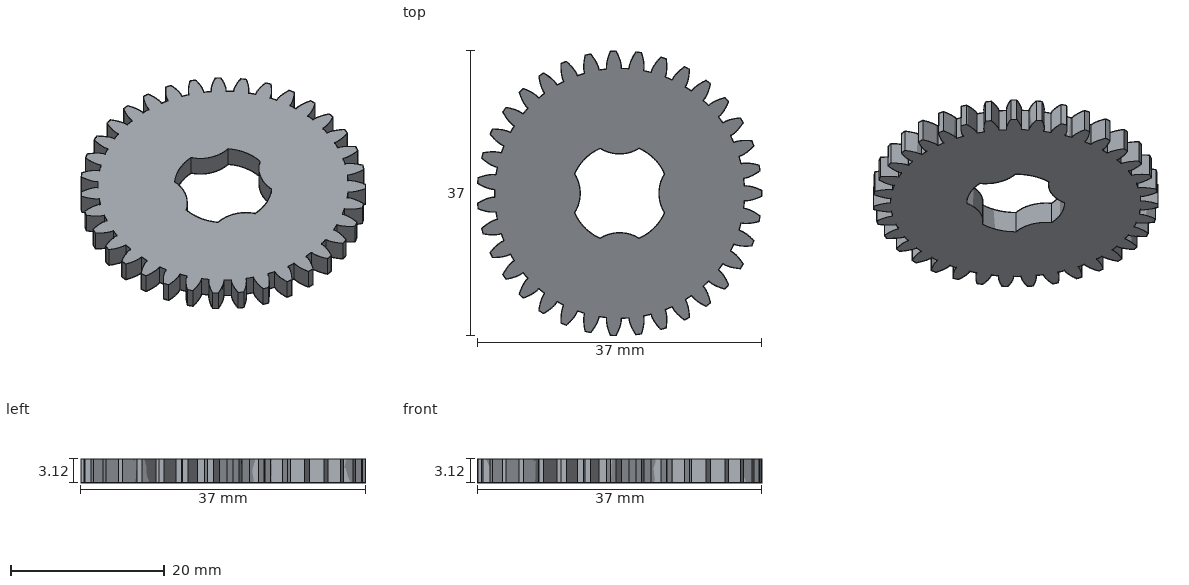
import cadquery as cq
import math

MODULE = 1.0
TOOTH_COUNT = 35
PRESSURE_ANGLE = math.radians(20)
DEDENDUM_FACTOR = 1.25
THICKNESS = 3.12

PITCH_RADIUS = MODULE * TOOTH_COUNT / 2
BASE_RADIUS = PITCH_RADIUS * math.cos(PRESSURE_ANGLE)
TIP_RADIUS = PITCH_RADIUS + MODULE
ROOT_RADIUS = PITCH_RADIUS - DEDENDUM_FACTOR * MODULE
TOOTH_PITCH_ANGLE = 2 * math.pi / TOOTH_COUNT
FLANK_STEPS = 6

BORE_RADIUS = 6.35
LOBE_RADIUS = 4.76
LOBE_CLEARANCE = 5.1
LOBE_COUNT = 4


def polar(radius, angle):
    return (radius * math.cos(angle), radius * math.sin(angle))


def involute(angle):
    return math.tan(angle) - angle


def half_tooth_angle(radius):
    """Angle from the tooth centreline to its involute flank at a radius."""
    half_angle_at_pitch = TOOTH_PITCH_ANGLE / 4
    flank_angle = math.acos(BASE_RADIUS / radius)
    return half_angle_at_pitch + involute(PRESSURE_ANGLE) - involute(flank_angle)


def flank_points(centre_angle, side):
    """Flank from base circle to tip; radii are closer together near the base."""
    points = []
    for step in range(FLANK_STEPS + 1):
        radius = BASE_RADIUS + (TIP_RADIUS - BASE_RADIUS) * (step / FLANK_STEPS) ** 2
        points.append(polar(radius, centre_angle + side * half_tooth_angle(radius)))
    return points


def make_gear_blank():
    """Toothed disc with one tooth centred on +X."""
    root_half_angle = half_tooth_angle(BASE_RADIUS)
    outline = cq.Workplane("XY").moveTo(*polar(ROOT_RADIUS, -root_half_angle))
    for tooth in range(TOOTH_COUNT):
        centre = tooth * TOOTH_PITCH_ANGLE
        next_centre = centre + TOOTH_PITCH_ANGLE
        rising_flank = flank_points(centre, -1)
        falling_flank = flank_points(centre, 1)[::-1]

        outline = outline.lineTo(*rising_flank[0])
        outline = outline.spline(rising_flank[1:], includeCurrent=True)
        outline = outline.threePointArc(polar(TIP_RADIUS, centre), falling_flank[0])
        outline = outline.spline(falling_flank[1:], includeCurrent=True)
        outline = outline.lineTo(*polar(ROOT_RADIUS, centre + root_half_angle))

        outline = outline.threePointArc(
            polar(ROOT_RADIUS, centre + TOOTH_PITCH_ANGLE / 2),
            polar(ROOT_RADIUS, next_centre - root_half_angle),
        )
    return outline.close().extrude(THICKNESS)


def make_bore():
    """Bore tool: a cylinder scalloped by the lobes."""
    lobes = (
        cq.Workplane("XY")
        .polarArray(LOBE_CLEARANCE + LOBE_RADIUS, 0, 360, LOBE_COUNT)
        .circle(LOBE_RADIUS)
        .extrude(THICKNESS)
    )
    return cq.Workplane("XY").circle(BORE_RADIUS).extrude(THICKNESS).cut(lobes)


result = make_gear_blank().cut(make_bore())